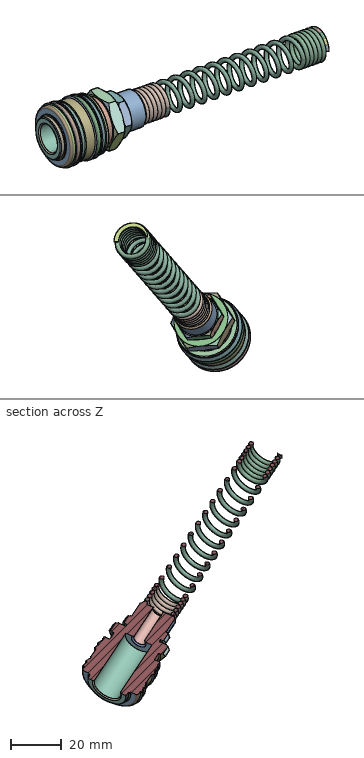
import cadquery as cq
import math


total_length = 130.0
nose_end = 1.8
sleeve_front = 2.3
sleeve_back = 20.7
large_hex_front = 23.9
large_hex_back = 29.1
small_hex_front = 29.9
small_hex_back = 34.3
body_end = 42.2

nose_radius = 8.8
nose_chamfer = 0.4
collar_radius = 9.5
sleeve_radius = 12.7
sleeve_front_fillet = 0.9
sleeve_back_chamfer = 0.4
neck_radius = 10.3
nut_gap_radius = 7.8
tail_diameter = 16.0
tail_chamfer = 0.8

ridge_radius = 13.4
ridge_valley_depth = 0.58
ridge_trough_radius = 12.5
ridge_spacing = 2.3
ridge_lip = 0.5
ridge_ramp = 2.0
trough_exit = 0.4
front_ridges_start = 4.4
rear_ridges_start = 14.2
rear_ridges_front_slope = 0.4

large_hex_flats = 22.0
small_hex_flats = 17.0
hex_chamfer_angle = 30.0
hex_half_sector = 180 / 6

mouth_bore_radius = 6.0
mouth_chamfer = 0.5
mouth_bore_depth = 26.0
hose_bore_radius = 2.6
hose_bore_chamfer = 0.6

spring_outer_radius = 7.3
wire_radius = 0.95
spring_start = 41.3
closed_pitch = 2.0
closed_turns = 6
open_turns = 11
ground_turns = 0.5
ground_pieces = 8
coil_radius = spring_outer_radius - wire_radius
closed_length = closed_turns * closed_pitch
open_length = total_length - spring_start - 2 * closed_length
open_pitch = open_length / open_turns


def revolve_about_y(outline):
    return outline.close().revolve(360, (0, 0, 0), (0, 1, 0))


def cylinder(start, end, radius):
    return cq.Workplane("XZ", origin=(0, start, 0)).circle(radius).extrude(start - end)


def make_nose():
    nose = cylinder(0, sleeve_front, nose_radius).faces("<Y").chamfer(nose_chamfer)
    return nose.union(cylinder(nose_end, sleeve_front, collar_radius))


def add_ridge_pair(outline, start, front_slope):
    """Continue the sleeve outline over two saw teeth and back up to the sleeve surface."""
    second = start + ridge_spacing
    trough = second + ridge_lip + ridge_ramp
    return (
        outline.lineTo(sleeve_radius, start - front_slope)
        .lineTo(ridge_radius, start)
        .lineTo(ridge_radius, start + ridge_lip)
        .lineTo(ridge_radius - ridge_valley_depth, second)
        .lineTo(ridge_radius, second)
        .lineTo(ridge_radius, second + ridge_lip)
        .lineTo(ridge_trough_radius, trough)
        .lineTo(sleeve_radius, trough + trough_exit)
    )


def make_sleeve():
    outline = cq.Workplane("XY").moveTo(0, sleeve_front).lineTo(sleeve_radius, sleeve_front)
    outline = add_ridge_pair(outline, front_ridges_start, 0)
    outline = add_ridge_pair(outline, rear_ridges_start, rear_ridges_front_slope)
    outline = outline.lineTo(sleeve_radius, sleeve_back).lineTo(0, sleeve_back)
    sleeve = revolve_about_y(outline)
    sleeve = sleeve.faces("<Y").edges().fillet(sleeve_front_fillet)
    return sleeve.faces(">Y").edges().chamfer(sleeve_back_chamfer)


def make_hex(front, back, flats):
    """Hexagon whose corners are cut by a cone at both ends."""
    corner_radius = flats / 2 / math.cos(math.radians(hex_half_sector))
    flat_radius = flats / 2
    cone_length = (corner_radius - flat_radius) * math.tan(math.radians(hex_chamfer_angle))
    prism = cq.Workplane("XZ", origin=(0, front, 0)).polygon(6, 2 * corner_radius).extrude(front - back)
    envelope = (
        cq.Workplane("XY")
        .moveTo(0, front)
        .lineTo(flat_radius, front)
        .lineTo(corner_radius, front + cone_length)
        .lineTo(corner_radius, back - cone_length)
        .lineTo(flat_radius, back)
        .lineTo(0, back)
    )
    return prism.intersect(revolve_about_y(envelope))


def make_tail():
    return cylinder(small_hex_back, body_end, tail_diameter / 2).faces(">Y").chamfer(tail_chamfer)


def make_bores():
    outline = (
        cq.Workplane("XY")
        .lineTo(mouth_bore_radius + mouth_chamfer, 0)
        .lineTo(mouth_bore_radius, mouth_chamfer)
        .lineTo(mouth_bore_radius, mouth_bore_depth)
        .lineTo(hose_bore_radius + hose_bore_chamfer, mouth_bore_depth)
        .lineTo(hose_bore_radius, mouth_bore_depth + hose_bore_chamfer)
        .lineTo(hose_bore_radius, body_end)
        .lineTo(0, body_end)
    )
    return revolve_about_y(outline)


def make_coil(start, pitch, turns, first_turn=0.0):
    """Right-handed coil that starts first_turn of a turn past the +X side."""
    helix = cq.Wire.makeHelix(pitch, pitch * turns, coil_radius)
    wire_side = cq.Plane(origin=(coil_radius, 0, 0), xDir=(0, 0, 1), normal=(0, 1, 0))
    section = cq.Workplane(wire_side).circle(wire_radius)
    coil = section.sweep(cq.Workplane(helix), isFrenet=True)
    coil = coil.rotate((0, 0, 0), (0, 0, 1), 360 * first_turn)
    return coil.rotate((0, 0, 0), (1, 0, 0), -90).translate((0, start, 0))


def make_ground_end():
    """Last part of the spring, cut off flat at the free end."""
    piece_turns = ground_turns / ground_pieces
    envelope = cylinder(spring_start, total_length, 2 * spring_outer_radius)
    pieces = []
    for index in range(ground_pieces):
        turns_left = ground_turns - index * piece_turns
        start = total_length - turns_left * closed_pitch
        pieces.append(make_coil(start, closed_pitch, piece_turns, -turns_left).intersect(envelope))
    ground_end = pieces[0]
    for piece in pieces[1:]:
        ground_end = ground_end.union(piece)
    return ground_end


def make_spring():
    open_start = spring_start + closed_length
    open_end = open_start + open_length
    spring = make_coil(spring_start, closed_pitch, closed_turns)
    spring = spring.union(make_coil(open_start, open_pitch, open_turns))
    spring = spring.union(make_coil(open_end, closed_pitch, closed_turns - ground_turns))
    return spring.union(make_ground_end())


body = make_nose()
body = body.union(make_sleeve())
body = body.union(cylinder(sleeve_back, large_hex_front, neck_radius))
body = body.union(make_hex(large_hex_front, large_hex_back, large_hex_flats))
body = body.union(cylinder(large_hex_back, small_hex_front, nut_gap_radius))
body = body.union(make_hex(small_hex_front, small_hex_back, small_hex_flats))
body = body.union(make_tail())
body = body.cut(make_bores())

result = body.union(make_spring())